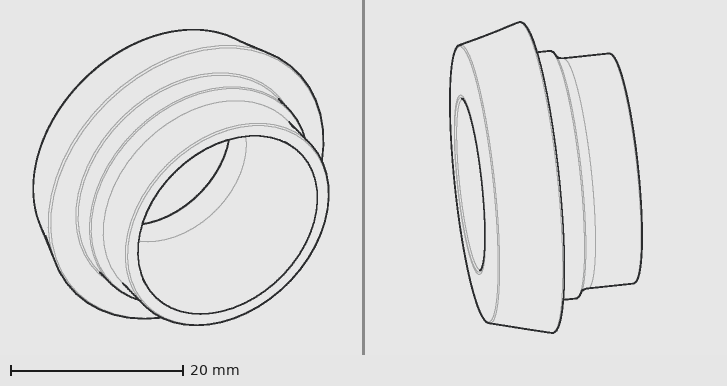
import cadquery as cq
import math

total_length = 18.0
flange_back_x = 8.0
hub_start_x = 12.45
bore_taper_x = 4.07

flange_radius = 18.2
collar_radius = 14.48
hub_radius = 13.45
rim_outer_radius = 10.48
throat_radius = 10.0
bore_end_radius = 11.85

face_angle = math.radians(5)
side_angle = math.radians(15)
face_slope = math.tan(face_angle)
side_slope = math.tan(side_angle)

edge_round = 0.2
neck_arc_radius = 1.4

corner_excess = edge_round * (side_slope + 1 / math.cos(side_angle) - 1)
back_corner_radius = flange_radius + corner_excess

front_corner_radius = (
    back_corner_radius - side_slope * (flange_back_x + face_slope * rim_outer_radius)
) / (1 - side_slope * face_slope)
front_corner_x = face_slope * (front_corner_radius - rim_outer_radius)

neck_arc_center_radius = hub_radius + neck_arc_radius
collar_round_center_radius = collar_radius - edge_round
center_distance = neck_arc_radius + edge_round
center_drop = neck_arc_center_radius - collar_round_center_radius
center_gap = math.sqrt(center_distance**2 - center_drop**2)
collar_round_x = hub_start_x - center_gap

touch_share = edge_round / center_distance
neck_touch = (
    collar_round_x + touch_share * center_gap,
    collar_round_center_radius + touch_share * center_drop,
)


def revolved_body():
    """Ring with a tapered flange, a collar, a hub and a bore that widens to the back."""
    profile = (
        cq.Workplane("XZ")
        .moveTo(0, throat_radius)
        .lineTo(0, rim_outer_radius)
        .lineTo(front_corner_x, front_corner_radius)
        .lineTo(flange_back_x, back_corner_radius)
        .lineTo(flange_back_x, collar_radius)
        .lineTo(collar_round_x, collar_radius)
        .tangentArcPoint(neck_touch, relative=False)
        .tangentArcPoint((hub_start_x, hub_radius), relative=False)
        .lineTo(total_length, hub_radius)
        .lineTo(total_length, bore_end_radius)
        .lineTo(bore_taper_x, throat_radius)
        .close()
    )
    return profile.revolve(360, (0, 0, 0), (1, 0, 0))


def is_rounded(edge):
    """Tell whether an edge is one of the circles to be rounded."""
    if edge.geomType() != "CIRCLE":
        return False
    center_x = edge.arcCenter().x
    return any(
        math.hypot(center_x - x, edge.radius() - radius) < match_tolerance
        for x, radius in rounded_corners
    )


rounded_corners = [
    (0, throat_radius),
    (front_corner_x, front_corner_radius),
    (flange_back_x, back_corner_radius),
    (flange_back_x, collar_radius),
    (total_length, hub_radius),
]
match_tolerance = 0.005

result = revolved_body().edges().filter(is_rounded).fillet(edge_round)